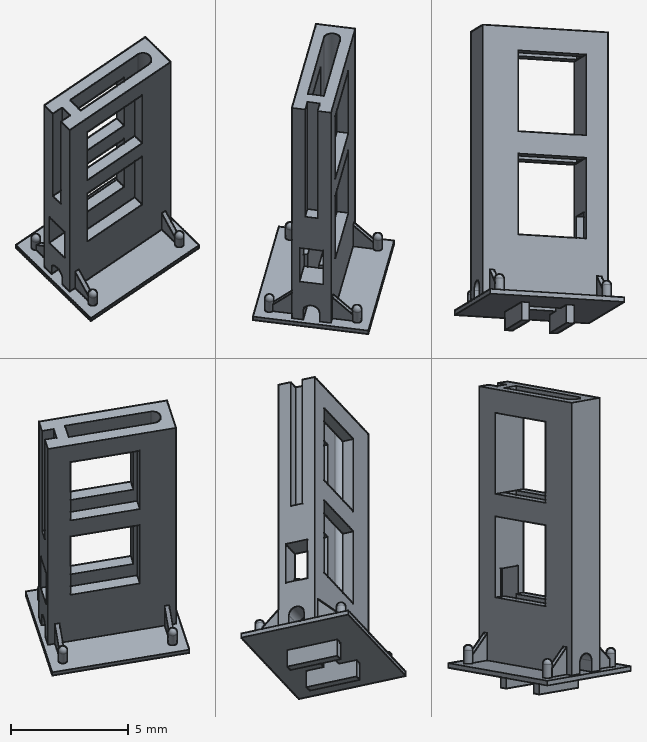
import cadquery as cq

overall_height = 12.8

plate_x = 5.0
plate_y = 6.0
plate_thickness = 0.2

tower_x = 1.7
tower_y = 5.6
tower_height = 11.8

channel_width = 0.7
channel_front_y = -1.78
channel_back_y = 2.32
channel_end_radius = channel_width / 2

window_front_y = -1.82
window_back_y = 1.22
window_height = 3.51
window_pitch = 4.48
lower_window_z = 2.79
window_count = 2

slot_width = 0.54
slot_depth = 0.51
slot_length = 6.02
pocket_width = 1.02
pocket_height = 1.88
pocket_z = 2.11

tunnel_width = channel_width
tunnel_height = 0.85
tunnel_radius = tunnel_width / 2

pin_diameter = 0.4
pin_height = 0.8
pin_spacing_x = 3.8
pin_spacing_y = 4.8
pin_x = pin_spacing_x / 2
pin_y = pin_spacing_y / 2
rib_thickness = 0.2
rib_tower_height = 1.19
rib_pin_height = 0.2

blade_width = 2.34
blade_thickness = 0.35
blade_height = overall_height - tower_height - plate_thickness
blade_gap = 1.66

tower_front_y = -tower_y / 2


def block(size_x, front_y, back_y, bottom_z, top_z):
    """Box centred on X = 0 between the given Y and Z limits."""
    size = (size_x, back_y - front_y, top_z - bottom_z)
    return cq.Workplane("XY").box(*size, centered=(True, False, False)).translate((0, front_y, bottom_z))


def make_channel():
    straight_end_y = channel_back_y - channel_end_radius
    half_width = channel_width / 2
    return (
        cq.Workplane("XY")
        .moveTo(-half_width, channel_front_y)
        .lineTo(half_width, channel_front_y)
        .lineTo(half_width, straight_end_y)
        .threePointArc((0, channel_back_y), (-half_width, straight_end_y))
        .close()
        .extrude(tower_height)
    )


def make_tunnel():
    spring_z = tunnel_height - tunnel_radius
    half_width = tunnel_width / 2
    return (
        cq.Workplane("XZ")
        .moveTo(-half_width, 0)
        .lineTo(half_width, 0)
        .lineTo(half_width, spring_z)
        .threePointArc((0, tunnel_height), (-half_width, spring_z))
        .close()
        .extrude(tower_y / 2, both=True)
    )


def make_tower():
    tower = block(tower_x, tower_front_y, tower_y / 2, 0, tower_height)
    tower = tower.cut(make_channel()).cut(make_tunnel())
    for index in range(window_count):
        bottom_z = lower_window_z + index * window_pitch
        tower = tower.cut(block(tower_x, window_front_y, window_back_y, bottom_z, bottom_z + window_height))
    slot = block(slot_width, tower_front_y, tower_front_y + slot_depth, tower_height - slot_length, tower_height)
    pocket = block(pocket_width, tower_front_y, channel_front_y, pocket_z, pocket_z + pocket_height)
    return tower.cut(slot).cut(pocket)


def make_base():
    base = block(plate_x, -plate_y / 2, plate_y / 2, -plate_thickness, 0)
    base = base.cut(block(channel_width, -blade_gap / 2, blade_gap / 2, -plate_thickness, 0))
    blade_bottom_z = -plate_thickness - blade_height
    for front_y in (blade_gap / 2, -blade_gap / 2 - blade_thickness):
        base = base.union(
            block(blade_width, front_y, front_y + blade_thickness, blade_bottom_z, -plate_thickness)
        )
    return base


def make_pin_with_rib():
    """Pin and rib of the +X, +Y corner."""
    pin_radius = pin_diameter / 2
    shank_height = pin_height - pin_radius
    pin = cq.Workplane("XY").circle(pin_radius).extrude(shank_height)
    pin = pin.union(cq.Workplane("XY").sphere(pin_radius).translate((0, 0, shank_height)))
    rib = (
        cq.Workplane("XZ")
        .polyline([(tower_x / 2, 0), (pin_x, 0), (pin_x, rib_pin_height), (tower_x / 2, rib_tower_height)])
        .close()
        .extrude(rib_thickness / 2, both=True)
    )
    return pin.translate((pin_x, pin_y, 0)).union(rib.translate((0, pin_y, 0)))


right_supports = make_pin_with_rib()
right_supports = right_supports.union(right_supports.mirror("XZ"))
left_supports = right_supports.mirror("YZ")

result = make_base().union(make_tower()).union(right_supports).union(left_supports)